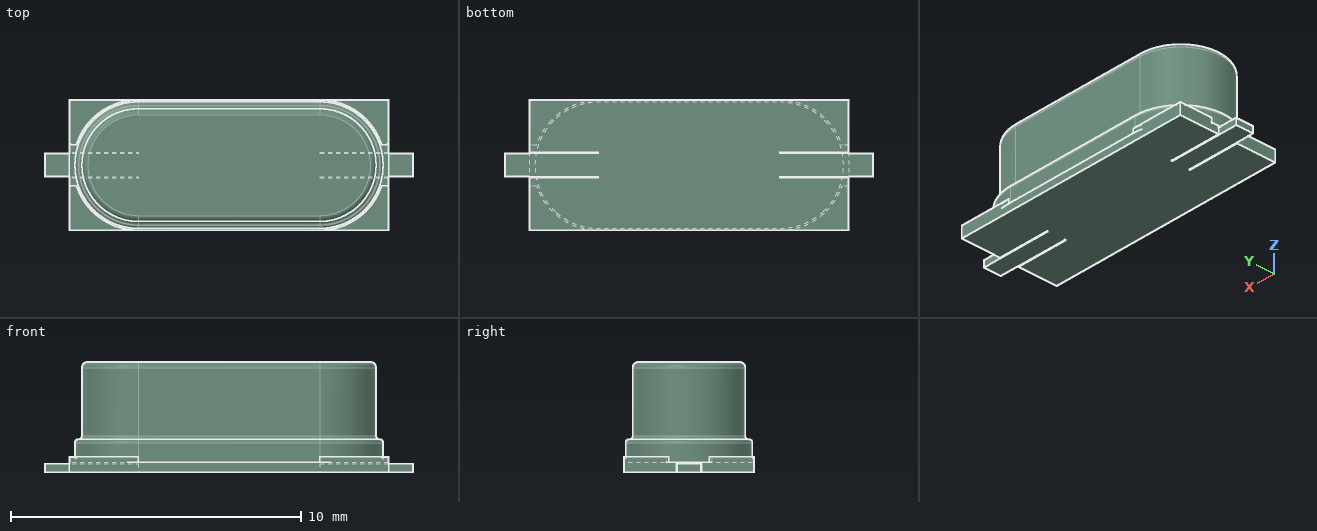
import cadquery as cq

total_length = 12.7
total_height = 3.81

base_length = 11.0
base_width = 4.5
base_height = 0.53

arc_center_spacing = 6.26
can_radius = 1.94
can_top_fillet = 0.2
flange_radius = 2.18
flange_top = 1.14
flange_edge_fillet = 0.11
can_foot_fillet = 0.11

pocket_radius = base_width / 2
pocket_floor = 0.34

notch_width = 1.41
notch_corner_radius = 0.08

lead_width = 0.8
lead_height = 0.3
lead_side_clearance = 0.04
lead_inner_end = arc_center_spacing / 2
groove_width = lead_width + 2 * lead_side_clearance


def stadium(radius, bottom, top):
    """Upright stadium prism around the shared arc centres."""
    return (
        cq.Workplane("XY")
        .workplane(offset=bottom)
        .slot2D(arc_center_spacing + 2 * radius, 2 * radius)
        .extrude(top - bottom)
    )


def end_bars(inner_end, outer_end, width, bottom, top):
    """Mirrored pair of bars along X, one at each end of the part."""
    bar = cq.Workplane("XY").box(
        outer_end - inner_end, width, top - bottom, centered=(False, True, False)
    ).translate((inner_end, 0, bottom))
    return bar.union(bar.mirror("YZ"))


def make_base():
    """Plate with the end notches, flange pocket and lead grooves."""
    plate = cq.Workplane("XY").box(
        base_length, base_width, base_height, centered=(True, True, False)
    )
    half_length = base_length / 2
    notches = end_bars(lead_inner_end, half_length, notch_width, pocket_floor, base_height)
    plate = plate.cut(notches)

    for side in (-1, 1):
        notch_corners = cq.selectors.BoxSelector(
            (side * lead_inner_end, -notch_width, pocket_floor),
            (side * total_length / 2, notch_width, base_height),
        )
        end_face = "<X" if side < 0 else ">X"
        plate = plate.faces(end_face).edges("|Z")
        plate = plate.edges(notch_corners).fillet(notch_corner_radius)

    plate = plate.cut(stadium(pocket_radius, pocket_floor, base_height))
    grooves = end_bars(lead_inner_end, half_length, groove_width, 0, lead_height)
    return plate.cut(grooves)


def make_can():
    """Flanged metal can with rounded top, flange edge and foot."""
    flange = stadium(flange_radius, pocket_floor, flange_top)
    flange = flange.faces(">Z").edges().fillet(flange_edge_fillet)
    body = stadium(can_radius, flange_top, total_height)
    body = body.faces(">Z").edges().fillet(can_top_fillet)

    can = flange.union(body)

    ring = can.faces(cq.selectors.NearestToPointSelector((0, 0, flange_top))).val()
    return can.newObject(ring.innerWires()[0].Edges()).fillet(can_foot_fillet)


leads = end_bars(lead_inner_end, total_length / 2, lead_width, 0, lead_height)
result = make_base().union(make_can()).union(leads)